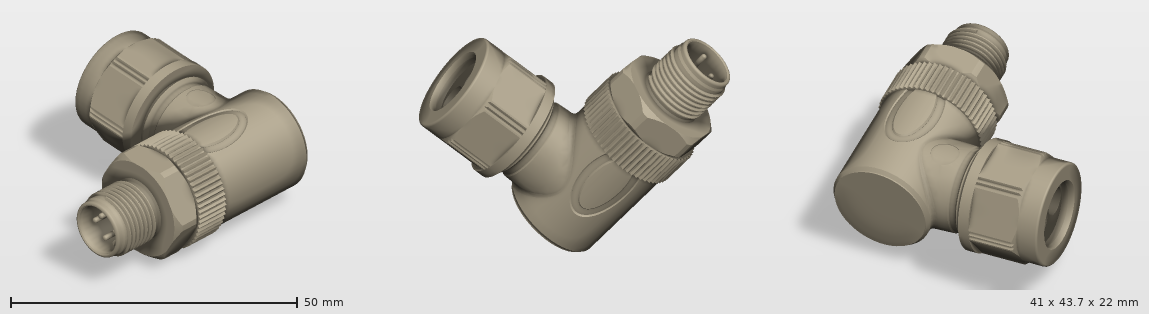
import cadquery as cq
import math

ARM_TILT = 5.0

BODY_RADIUS = 9.32
BODY_TOP = 9.55
BODY_LIP = 0.25
BODY_CHAMFER_RADIAL = 0.6
BODY_CHAMFER_AXIAL = 0.6

KNURL_TOP = -11.5
KNURL_BOTTOM = -17.95
KNURL_RADIUS = 9.98
KNURL_DEPTH = 0.4
KNURL_TEETH = 60
TOOTH_BASE_SHARE = 0.7
HEX_BOTTOM = -23.4
HEX_ACROSS_FLATS = 18.0
HEX_CORNER_RADIUS = 10.07
HEX_CHAMFER = 1.0

CORE_RADIUS = 5.5
CORE_BASE_RADIUS = 5.8
CORE_BASE_LENGTH = 0.4
CORE_END_TAPER = 0.5
THREAD_RADIUS = 5.97
THREAD_PITCH = 1.0
THREAD_TOP = -24.45
THREAD_TURNS = 6.75
THREAD_START_ANGLE = 180.0
THREAD_ROOT_WIDTH = 0.8
THREAD_CREST_WIDTH = 0.2
THREAD_SINK = 0.15
TIP_TOP = -32.4
TIP_END = -33.5
TIP_RADIUS = 5.3
TIP_ROUNDING = 0.5
SOCKET_DEPTH = 8.0
SOCKET_MOUTH_RADIUS = 4.75
SOCKET_RADIUS = 4.55
SOCKET_FLOOR_RADIUS = 4.1
PIN_RADIUS = 0.5
PIN_CIRCLE_RADIUS = 2.5
PIN_LENGTH = 6.3
LONG_PIN_LENGTH = 7.3
LONG_PIN_ANGLE = 90.0
PIN_ROUNDING = 0.4
PIN_COUNT = 4
KEY_RADIUS = 0.6
KEY_CENTRE_RADIUS = 3.6
KEY_LENGTH = 6.0
KEY_ANGLE = -45.0

ARM_RADIUS = 8.3
ARM_START_RADIUS = 7.85
ARM_START_REACH = 12.25
ARM_FILLET = 0.9
ARM_END_CHAMFER = 0.3
NECK_RADIUS = 7.6
RING_RADIUS = 8.4
RING_REACH = 14.3
RING_HALF_WIDTH = 0.65
RING_HALF_CREST = 0.12
DISC_RADIUS = 2.55
DISC_REACH = 8.9
DISC_DEPTH = 0.12

FLANGE_REACH = 15.4
FLANGE_THICKNESS = 2.0
GLAND_RADIUS = 10.19
GLAND_FLAT_DISTANCE = 9.35
GLAND_HEX_REACH = 26.35
GLAND_CHAMFER = 0.7
CAP_RADIUS = 9.44
CAP_REACH = 30.22
CAP_FILLET = 0.4
CORNER_GROOVE_ANGLE = 2.8
CORNER_GROOVE_WIDTH = 0.7
CORNER_GROOVE_DEPTH = 0.4
MOUTH_RADIUS = 6.3
SEAL_RADIUS = 5.8
MOUTH_CHAMFER_DEPTH = 1.0
SEAL_DEPTH = 2.2
CABLE_HOLE_RADIUS = 2.6
CABLE_HOLE_OFFSET = 2.81
CABLE_HOLE_DEPTH = 6.3

OVAL_CENTRE_Y = -6.8
OVAL_OUTER = (4.35, 8.1)
OVAL_INNER = (3.15, 6.75)
OVAL_DEPTH = 0.3
OVAL_EDGE_CHAMFER = 0.28

HEX_SIDES = 6
SURFACE_TOLERANCE = 0.05


def polar(radius, degrees):
    angle = math.radians(degrees)
    return (radius * math.cos(angle), radius * math.sin(angle))


def turned_about_y(profile):
    """Revolve a (radius, y) profile about the coupling axis."""
    return cq.Workplane("XY").polyline(profile).close().revolve(360, (0, 0, 0), (0, 1, 0))


def turned_about_arm(profile):
    """Revolve a (reach, radius) profile about the level arm axis (-X)."""
    points = [(-reach, radius) for reach, radius in profile]
    return cq.Workplane("XY").polyline(points).close().revolve(360, (0, 0, 0), (1, 0, 0))


def prism_along_y(start_y, end_y):
    """Workplane at start_y, and the length that extrudes down to end_y."""
    return cq.Workplane("XZ", origin=(0, start_y, 0)), start_y - end_y


def elbow_body():
    chamfer_radius = BODY_RADIUS - BODY_CHAMFER_RADIAL
    return turned_about_y([
        (0, BODY_TOP),
        (chamfer_radius, BODY_TOP),
        (chamfer_radius, BODY_TOP - BODY_LIP),
        (BODY_RADIUS, BODY_TOP - BODY_LIP - BODY_CHAMFER_AXIAL),
        (BODY_RADIUS, KNURL_TOP),
        (0, KNURL_TOP),
    ])


def knurled_ring():
    pitch = 360 / KNURL_TEETH
    half_base = pitch * TOOTH_BASE_SHARE / 2
    root_radius = KNURL_RADIUS - KNURL_DEPTH
    outline = []
    for tooth in range(KNURL_TEETH):
        centre = tooth * pitch
        outline.append(polar(root_radius, centre - half_base))
        outline.append(polar(KNURL_RADIUS, centre))
        outline.append(polar(root_radius, centre + half_base))
    plane, length = prism_along_y(KNURL_TOP, KNURL_BOTTOM)
    return plane.polyline(outline).close().extrude(length)


def coupling_hexagon():
    plane, length = prism_along_y(KNURL_BOTTOM, HEX_BOTTOM)
    corner_distance = HEX_ACROSS_FLATS / math.cos(math.pi / HEX_SIDES)
    prism = plane.polygon(HEX_SIDES, corner_distance).extrude(length)
    end_radius = HEX_CORNER_RADIUS - HEX_CHAMFER
    envelope = turned_about_y([
        (0, KNURL_BOTTOM),
        (end_radius, KNURL_BOTTOM),
        (HEX_CORNER_RADIUS, KNURL_BOTTOM - HEX_CHAMFER),
        (HEX_CORNER_RADIUS, HEX_BOTTOM + HEX_CHAMFER),
        (end_radius, HEX_BOTTOM),
        (0, HEX_BOTTOM),
    ])
    return prism.intersect(envelope)


def threaded_core():
    core = turned_about_y([
        (0, HEX_BOTTOM),
        (CORE_BASE_RADIUS, HEX_BOTTOM),
        (CORE_RADIUS, HEX_BOTTOM - CORE_BASE_LENGTH),
        (CORE_RADIUS, TIP_TOP + CORE_END_TAPER),
        (TIP_RADIUS, TIP_TOP),
        (TIP_RADIUS, TIP_END),
        (0, TIP_END),
    ])
    return core.faces("<Y").edges().fillet(TIP_ROUNDING)


def thread_ridge():
    """Helical ridge, built along Z and turned onto the coupling axis."""
    inner_radius = CORE_RADIUS - THREAD_SINK
    half_root = THREAD_ROOT_WIDTH / 2
    half_crest = THREAD_CREST_WIDTH / 2
    path = cq.Wire.makeHelix(THREAD_PITCH, THREAD_PITCH * THREAD_TURNS, inner_radius)
    ridge = (
        cq.Workplane("XZ")
        .polyline([
            (inner_radius, -half_root),
            (THREAD_RADIUS, -half_crest),
            (THREAD_RADIUS, half_crest),
            (inner_radius, half_root),
        ])
        .close()
        .sweep(cq.Workplane(obj=path), isFrenet=True)
    )
    ridge = ridge.rotate((0, 0, 0), (0, 0, 1), THREAD_START_ANGLE)
    return ridge.rotate((0, 0, 0), (1, 0, 0), 90).translate((0, THREAD_TOP, 0))


def pin_socket():
    floor_y = TIP_END + SOCKET_DEPTH
    bore = turned_about_y([
        (0, TIP_END),
        (SOCKET_MOUTH_RADIUS, TIP_END),
        (SOCKET_RADIUS, TIP_END + SOCKET_MOUTH_RADIUS - SOCKET_RADIUS),
        (SOCKET_FLOOR_RADIUS, floor_y),
        (0, floor_y),
    ])
    plane, length = prism_along_y(floor_y, floor_y - KEY_LENGTH)
    key = plane.center(*polar(KEY_CENTRE_RADIUS, KEY_ANGLE)).circle(KEY_RADIUS).extrude(length)
    return bore.cut(key)


def contact_pin(angle, length):
    floor_y = TIP_END + SOCKET_DEPTH
    plane, extent = prism_along_y(floor_y, floor_y - length)
    pin = plane.center(*polar(PIN_CIRCLE_RADIUS, angle)).circle(PIN_RADIUS).extrude(extent)
    return pin.faces("<Y").edges().fillet(PIN_ROUNDING)


def contact_pins():
    """Evenly spaced pins; the top one reaches further than the others."""
    pins = contact_pin(LONG_PIN_ANGLE, LONG_PIN_LENGTH)
    for index in range(1, PIN_COUNT):
        pins = pins.add(contact_pin(LONG_PIN_ANGLE + index * 360 / PIN_COUNT, PIN_LENGTH))
    return pins.combine()


def arm_barrel():
    return turned_about_arm([
        (0, 0),
        (0, ARM_RADIUS),
        (ARM_START_REACH, ARM_START_RADIUS),
        (ARM_START_REACH + ARM_END_CHAMFER, ARM_START_RADIUS - ARM_END_CHAMFER),
        (ARM_START_REACH + ARM_END_CHAMFER, 0),
    ])


def arm_neck():
    return turned_about_arm([
        (ARM_START_REACH, 0),
        (ARM_START_REACH, NECK_RADIUS),
        (RING_REACH - RING_HALF_WIDTH, NECK_RADIUS),
        (RING_REACH - RING_HALF_CREST, RING_RADIUS),
        (RING_REACH + RING_HALF_CREST, RING_RADIUS),
        (RING_REACH + RING_HALF_WIDTH, NECK_RADIUS),
        (FLANGE_REACH, NECK_RADIUS),
        (FLANGE_REACH, 0),
    ])


def disc_recess():
    """Thin round recess that follows the top of the arm barrel."""
    disc = cq.Workplane("XY").center(-DISC_REACH, 0).circle(DISC_RADIUS).extrude(BODY_RADIUS)
    barrel_core = turned_about_arm([
        (0, 0),
        (0, ARM_RADIUS - DISC_DEPTH),
        (ARM_START_REACH, ARM_START_RADIUS - DISC_DEPTH),
        (ARM_START_REACH, 0),
    ])
    return disc.cut(barrel_core)


def oval_groove():
    outer = cq.Workplane("XY").center(0, OVAL_CENTRE_Y).ellipse(*OVAL_OUTER).extrude(BODY_RADIUS, both=True)
    inner = cq.Workplane("XY").center(0, OVAL_CENTRE_Y).ellipse(*OVAL_INNER).extrude(BODY_RADIUS, both=True)
    plane, length = prism_along_y(BODY_TOP, HEX_BOTTOM)
    body_core = plane.circle(BODY_RADIUS - OVAL_DEPTH).extrude(length)
    below_knurl = turned_about_y([
        (0, KNURL_TOP),
        (KNURL_RADIUS, KNURL_TOP),
        (KNURL_RADIUS, HEX_BOTTOM),
        (0, HEX_BOTTOM),
    ])
    return outer.cut(inner).cut(body_core).cut(below_knurl)


def gland_cap():
    """Turned outline of the gland nut: flange, corner cylinder and plain cap."""
    body = turned_about_arm([
        (FLANGE_REACH, 0),
        (FLANGE_REACH, GLAND_RADIUS),
        (GLAND_HEX_REACH - GLAND_CHAMFER, GLAND_RADIUS),
        (GLAND_HEX_REACH, CAP_RADIUS),
        (CAP_REACH, CAP_RADIUS),
        (CAP_REACH, 0),
    ])
    return body.faces("<X").edges().fillet(CAP_FILLET)


def gland_flat_cutter(angle):
    """Material outside one flat of the gland hexagon; angle is about the arm axis."""
    length = GLAND_HEX_REACH - FLANGE_REACH - FLANGE_THICKNESS
    slab_height = GLAND_RADIUS - GLAND_FLAT_DISTANCE
    slab = cq.Workplane("XY").box(length, 2 * GLAND_RADIUS, slab_height, centered=(False, True, False))
    slab = slab.translate((-GLAND_HEX_REACH, 0, GLAND_FLAT_DISTANCE))
    return slab.rotate((0, 0, 0), (1, 0, 0), angle)


def corner_groove_cutter(angle):
    """V groove along a corner of the gland hexagon."""
    half_width = CORNER_GROOVE_WIDTH / 2
    groove = (
        cq.Workplane("YZ", origin=(-FLANGE_REACH - FLANGE_THICKNESS, 0, 0))
        .polyline([
            (-half_width, GLAND_RADIUS),
            (half_width, GLAND_RADIUS),
            (0, GLAND_RADIUS - CORNER_GROOVE_DEPTH),
        ])
        .close()
        .extrude(FLANGE_REACH + FLANGE_THICKNESS - GLAND_HEX_REACH)
    )
    return groove.rotate((0, 0, 0), (1, 0, 0), angle)


def cable_opening():
    """Tapered mouth with two blind cable holes in the seal."""
    seal_reach = CAP_REACH - SEAL_DEPTH
    mouth = turned_about_arm([
        (CAP_REACH, 0),
        (CAP_REACH, MOUTH_RADIUS),
        (CAP_REACH - MOUTH_CHAMFER_DEPTH, SEAL_RADIUS),
        (seal_reach, SEAL_RADIUS),
        (seal_reach, 0),
    ])
    holes = (
        cq.Workplane("YZ", origin=(-seal_reach, 0, 0))
        .pushPoints([(-CABLE_HOLE_OFFSET, 0), (CABLE_HOLE_OFFSET, 0)])
        .circle(CABLE_HOLE_RADIUS)
        .extrude(CABLE_HOLE_DEPTH)
    )
    return mouth.union(holes)


def gland_nut():
    nut = gland_cap()
    for side in range(HEX_SIDES):
        flat_angle = side * 360 / HEX_SIDES
        corner_angle = flat_angle + 180 / HEX_SIDES
        nut = nut.cut(gland_flat_cutter(flat_angle))
        for offset in (-CORNER_GROOVE_ANGLE, CORNER_GROOVE_ANGLE):
            nut = nut.cut(corner_groove_cutter(corner_angle + offset))
    return nut.cut(cable_opening())


def on_body_surface(edge):
    """True for a rim edge of the oval groove, which lies on the body cylinder."""
    point = edge.positionAt(0.5)
    return abs(math.hypot(point.x, point.z) - BODY_RADIUS) < SURFACE_TOLERANCE


def ornamented_body():
    body = elbow_body().cut(oval_groove())
    return body.edges("%BSPLINE").filter(on_body_surface).chamfer(OVAL_EDGE_CHAMFER)


def elbow_with_arm():
    """Body, arm and gland nut with the arm level, then tilted as a whole."""
    elbow = ornamented_body().union(arm_barrel())
    joint = elbow.edges("%BSPLINE").filter(lambda edge: edge.Center().x < -OVAL_OUTER[0])
    elbow = joint.fillet(ARM_FILLET)
    elbow = elbow.cut(disc_recess()).union(arm_neck()).union(gland_nut())
    return elbow.rotate((0, 0, 0), (0, 1, 0), ARM_TILT)


def coupling():
    plug = threaded_core().union(thread_ridge())
    plug = plug.cut(pin_socket()).union(contact_pins())
    return knurled_ring().union(coupling_hexagon()).union(plug)


result = elbow_with_arm().union(coupling())